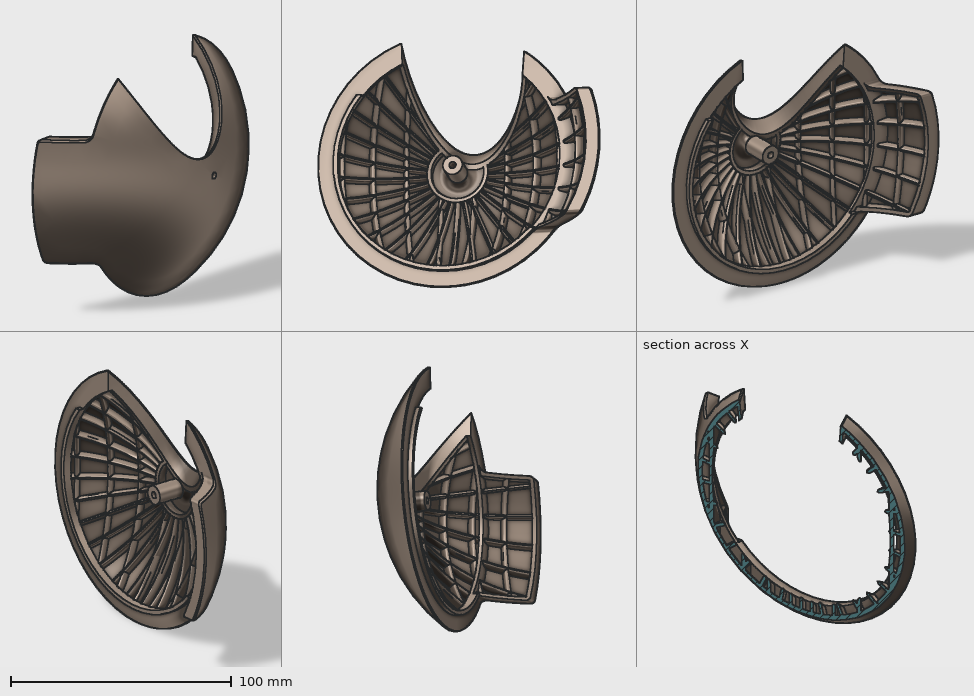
import cadquery as cq
import math

dome_depth = 28.5
outer_radius = 79.3
shell_depth = 6.0
skin_thickness = 2.0
border = 1.8
edge_break = 0.85

tab_length = 20.2
tab_top = 24.8
tab_bottom = -34.8
tab_corner_radius = 1.8
tab_root_radius = 2.4

notch_center_y = -6.4
notch_center_height = 39.0
notch_half_width = 28.3
notch_depth = 53.4
notch_pitch = math.radians(50)

rib_width = 2.0
rib_pitch = 12.0
spoke_count = 30
meridian_count = 12
rib_end_angle = 72.0
meridian_drop = 0.1

hub_outer_radius = 14.0
hub_inner_radius = 12.1
boss_radius = 8.9 / 2
boss_fillet = 4.0
boss_tip_x = 9.0
bore_radius = 3.0 / 2

lip_outer_radius = 52.9
lip_inner_radius = 50.9
lip_height = 2.2
lip_top = 32.0

center_x = dome_depth - outer_radius
inner_radius = outer_radius - shell_depth
floor_radius = outer_radius - skin_thickness
lip_root_x = center_x + math.sqrt(inner_radius**2 - lip_inner_radius**2)
reach = 2 * outer_radius
clearance = 1.0


def ball(radius):
    """Sphere about the dome centre, its seam turned away from the dome."""
    return cq.Workplane("XY").sphere(radius).rotate((0, 0, 0), (0, 0, 1), 180).translate((center_x, 0, 0))


def x_cylinder(radius, x_start, x_end):
    return cq.Workplane("YZ", origin=(x_start, 0, 0)).circle(radius).extrude(x_end - x_start)


def box(x_range, y_range, z_range):
    low, high = zip(x_range, y_range, z_range)
    size = [end - start for start, end in zip(low, high)]
    return cq.Workplane("XY").box(*size, centered=False).translate(low)


def cut_all(body, tools):
    """Cut a list of separate tools from the body in one step."""
    return cq.Workplane(body.val().cut(*[tool.val() for tool in tools]))


def rim_and_tab_envelope():
    """Everything behind the rim plane, plus the side tab with its rounded corners."""
    rim = box((0, reach), (-reach, reach), (-reach, reach))
    tab = box((-tab_length, reach), (-reach, 0), (tab_bottom, tab_top))
    tab = tab.edges("|Y and <X").fillet(tab_corner_radius)
    root_edges = cq.selectors.BoxSelector(
        (-clearance, -reach, tab_bottom - clearance), (clearance, 0, tab_top + clearance)
    )
    return rim.union(tab).edges(root_edges).edges("|Y").fillet(tab_root_radius)


def notch_cutter(offset):
    """Prism with an elliptical bottom and straight sides, its walls moved outward by offset."""
    half_width = notch_half_width + offset
    depth = notch_depth + offset
    direction = cq.Vector(math.cos(notch_pitch), 0, math.sin(notch_pitch))
    height_axis = cq.Vector(-math.sin(notch_pitch), 0, math.cos(notch_pitch))
    origin = cq.Vector(0, notch_center_y, 0) + height_axis * notch_center_height
    plane = cq.Plane(origin=origin, xDir=height_axis, normal=direction)
    bottom = cq.Workplane(plane).ellipse(depth, half_width).extrude(reach, both=True)
    mouth = cq.Workplane(plane).center(reach / 2, 0).rect(reach, 2 * half_width).extrude(reach, both=True)
    return bottom.union(mouth)


def full_shell(notch):
    """Dome with tab and notch, outer edges chamfered, hollowed to its full thickness."""
    solid = ball(outer_radius).intersect(rim_and_tab_envelope()).cut(notch)
    solid = solid.faces("%SPHERE").edges().chamfer(edge_break)
    return solid.cut(ball(inner_radius))


def post():
    return x_cylinder(boss_radius, boss_tip_x, center_x + floor_radius + clearance)


def great_circle_rib(crest_radius, start_angle, end_angle):
    """Arc in the XY plane around the origin, with a fully rounded inner crest."""
    half = rib_width / 2
    root = floor_radius + clearance
    return (
        cq.Workplane("XZ")
        .moveTo(root, -half)
        .lineTo(root, half)
        .lineTo(crest_radius + half, half)
        .threePointArc((crest_radius, 0), (crest_radius + half, -half))
        .close()
        .revolve(end_angle - start_angle, (0, 0, 0), (0, 1, 0))
        .rotate((0, 0, 0), (0, 0, 1), start_angle)
    )


def spokes():
    """Ribs that fan out from the hub; each starts inside the hub wall."""
    hub_middle_radius = (hub_inner_radius + hub_outer_radius) / 2
    start_angle = math.degrees(math.asin(hub_middle_radius / floor_radius))
    spoke = great_circle_rib(inner_radius, start_angle, rib_end_angle)
    angles = [rib_pitch * (i + 0.5) for i in range(spoke_count)]
    return [spoke.rotate((0, 0, 0), (1, 0, 0), angle).translate((center_x, 0, 0)) for angle in angles]


def meridians():
    """Upright ribs that share the vertical axis of the sphere."""
    crest_radius = inner_radius + meridian_drop
    meridian = great_circle_rib(crest_radius, -rib_end_angle, rib_end_angle)
    upright = meridian.rotate((0, 0, 0), (1, 0, 0), 90)
    first_angle = -rib_pitch * (meridian_count - 1) / 2
    angles = [first_angle + rib_pitch * i for i in range(meridian_count)]
    return [upright.rotate((0, 0, 0), (0, 0, 1), angle).translate((center_x, 0, 0)) for angle in angles]


def pocket_layer():
    """Layer between the rib crests and the pocket floors."""
    return ball(floor_radius).cut(ball(inner_radius - clearance))


def pockets(bordered_notch):
    """Space between the ribs, inside the rim, the tab frame, the notch border and the hub."""
    dome_area = box((lip_root_x, reach), (-reach, reach), (-reach, reach))
    tab_area = box(
        (border - tab_length, 0), (-reach, 0), (tab_bottom + border, tab_top - border)
    )
    hub = x_cylinder(hub_outer_radius, 0, reach)
    dome_pockets = pocket_layer().intersect(dome_area).cut(bordered_notch).cut(hub)
    tab_pockets = pocket_layer().intersect(tab_area)
    for rib_family in (meridians(), spokes()):
        dome_pockets = cut_all(dome_pockets, rib_family)
        tab_pockets = cut_all(tab_pockets, rib_family)
    return [dome_pockets, tab_pockets]


def hub_recess(bordered_notch):
    """Annular well around the post, with a fillet tangent to the post and the spherical floor."""
    fillet_center_r = boss_radius + boss_fillet
    lean = math.asin(fillet_center_r / (floor_radius - boss_fillet))
    fillet_center_x = center_x + (floor_radius - boss_fillet) * math.cos(lean)
    middle_angle = (lean - math.pi / 2) / 2
    fillet_middle = (
        fillet_center_x + boss_fillet * math.cos(middle_angle),
        fillet_center_r + boss_fillet * math.sin(middle_angle),
    )
    wall_angle = math.asin(hub_inner_radius / floor_radius)

    def floor_point(angle):
        return (center_x + floor_radius * math.cos(angle), floor_radius * math.sin(angle))

    mouth_x = center_x + inner_radius * math.cos(wall_angle) - clearance
    well = (
        cq.Workplane("XY")
        .moveTo(mouth_x, boss_radius)
        .lineTo(fillet_center_x, boss_radius)
        .threePointArc(fillet_middle, floor_point(lean))
        .threePointArc(floor_point((lean + wall_angle) / 2), floor_point(wall_angle))
        .lineTo(mouth_x, hub_inner_radius)
        .close()
        .revolve(360, (0, 0, 0), (1, 0, 0))
    )
    return well.cut(bordered_notch)


def collar(x_start, x_end):
    ring = x_cylinder(lip_outer_radius, x_start, x_end)
    return ring.cut(x_cylinder(lip_inner_radius, x_start, x_end))


def lip(notch):
    """Locating ring: flush all round the rim, proud of it except above lip_top and beside the tab."""
    above = box((-reach, reach), (-reach, reach), (lip_top, reach))
    beside_tab = box((-reach, reach), (-reach, 0), (tab_bottom, reach))
    proud = collar(-lip_height, lip_root_x).cut(above).cut(beside_tab)
    flush = collar(0, lip_root_x).cut(notch)
    return flush.union(proud)


notch = notch_cutter(0)
bordered_notch = notch_cutter(border)
bore = x_cylinder(bore_radius, 0, reach)

result = full_shell(notch).union(post()).cut(hub_recess(bordered_notch)).cut(bore).union(lip(notch))
for hollow in pockets(bordered_notch):
    result = cut_all(result, [hollow])